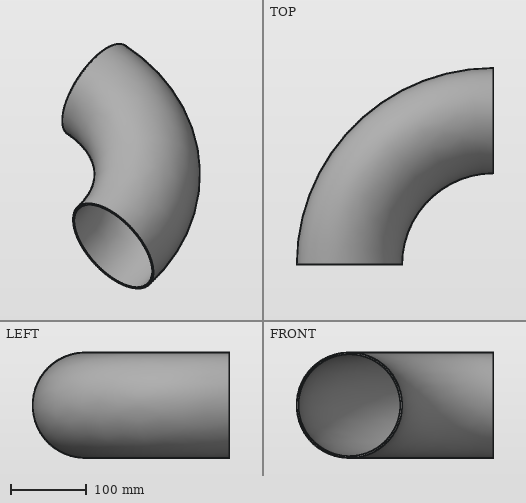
import cadquery as cq

overall_length = 260.4
outer_diameter = 139.8
wall_thickness = 2.5
bend_angle = 90.0

outer_radius = outer_diameter / 2
inner_radius = outer_radius - wall_thickness
bend_radius = overall_length - outer_radius


def pipe_section():
    """Ring-shaped pipe section on the XZ plane, on the -X side of the bend axis."""
    return cq.Workplane("XZ").center(-bend_radius, 0).circle(outer_radius).circle(inner_radius)


axis_start = (bend_radius, 0)
axis_end = (bend_radius, -1)
result = pipe_section().revolve(bend_angle, axis_start, axis_end)